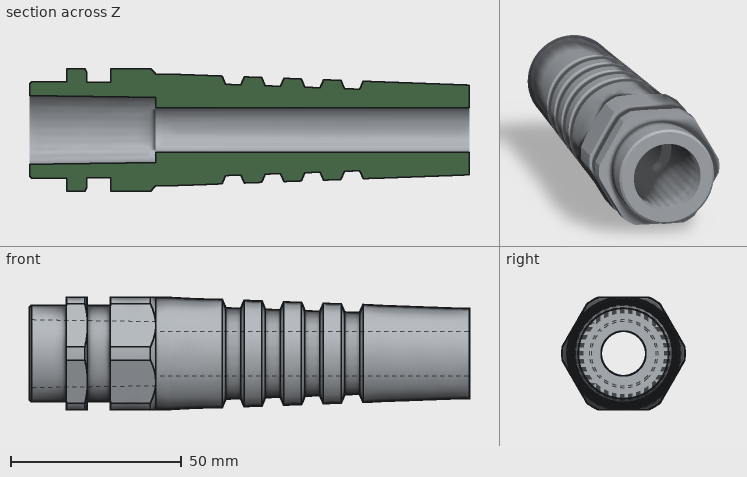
import cadquery as cq
import math

length = 129.0

entry_diameter = 28.4
entry_chamfer = 0.6
collar_diameter = 28.3

across_flats = 33.0
across_corners = 36.1
flange_start = 10.8
flange_end = 16.9
flange_chamfer_length = 0.6
flange_chamfer_depth = 1.3
nut_start = 23.7
nut_end = 37.0
nut_chamfer = 1.5

cap_diameter = 32.9
cap_end = 41.0
sleeve_end_diameter = 26.5

groove_count = 4
groove_start = 56.5
groove_pitch = 11.6
groove_top_width = 6.5
groove_wall_length = 1.0
groove_depth = 2.39

mouth_diameter = 20.0
bore_inner_diameter = 19.0
bore_depth = nut_end
through_diameter = 13.0


def sleeve_radius(x):
    """Radius of the ungrooved sleeve at a position along the axis."""
    fraction = (x - cap_end) / (length - cap_end)
    return (cap_diameter + fraction * (sleeve_end_diameter - cap_diameter)) / 2


def revolve_about_x(points):
    """Close a profile of (x, radius) points and turn it about the X axis."""
    return cq.Workplane("XY").polyline(points).close().revolve(360, (0, 0, 0), (1, 0, 0))


def cylinder(start, end, diameter):
    return cq.Workplane("YZ", origin=(start, 0, 0)).circle(diameter / 2).extrude(end - start)


def hexagon(start, end, chamfer_length, chamfer_depth):
    """Hexagon with flats facing +Z and -Z, corners turned round and chamfered at the +X end."""
    prism = (
        cq.Workplane("YZ", origin=(start, 0, 0))
        .polygon(6, across_flats / math.cos(math.pi / 6))
        .extrude(end - start)
    )
    corner_radius = across_corners / 2
    envelope = revolve_about_x([
        (start, 0),
        (start, corner_radius),
        (end - chamfer_length, corner_radius),
        (end, corner_radius - chamfer_depth),
        (end, 0),
    ])
    return prism.intersect(envelope)


def sleeve():
    """Straight cap and tapered sleeve with its sloping-walled grooves."""
    profile = [(nut_end, 0), (nut_end, cap_diameter / 2), (cap_end, cap_diameter / 2)]
    for index in range(groove_count):
        start = groove_start + index * groove_pitch
        end = start + groove_top_width
        floor_start = start + groove_wall_length
        floor_end = end - groove_wall_length
        profile += [
            (start, sleeve_radius(start)),
            (floor_start, sleeve_radius(floor_start) - groove_depth),
            (floor_end, sleeve_radius(floor_end) - groove_depth),
            (end, sleeve_radius(end)),
        ]
    profile += [(length, sleeve_end_diameter / 2), (length, 0)]
    return revolve_about_x(profile)


def bore():
    """Tapered entry bore that steps down to the through hole."""
    return revolve_about_x([
        (0, 0),
        (0, mouth_diameter / 2),
        (bore_depth, bore_inner_diameter / 2),
        (bore_depth, through_diameter / 2),
        (length, through_diameter / 2),
        (length, 0),
    ])


entry = cylinder(0, flange_start, entry_diameter).faces("<X").chamfer(entry_chamfer)
flange = hexagon(flange_start, flange_end, flange_chamfer_length, flange_chamfer_depth)
collar = cylinder(flange_end, nut_start, collar_diameter)
nut = hexagon(nut_start, nut_end, nut_chamfer, nut_chamfer)

result = entry.union(flange).union(collar).union(nut).union(sleeve()).cut(bore())